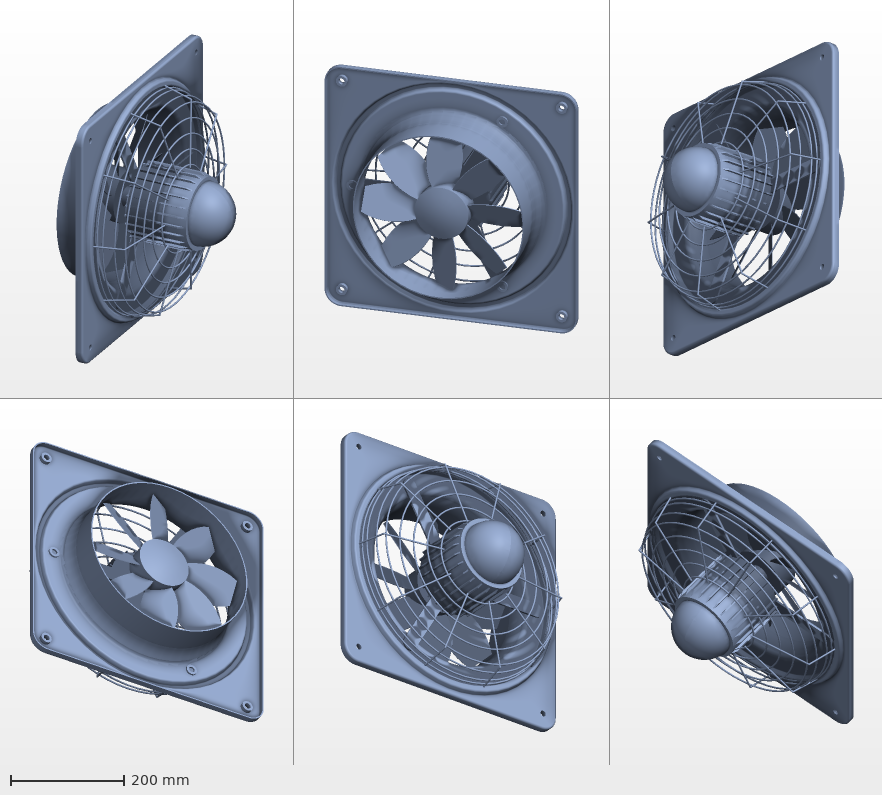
import cadquery as cq
import math


plate_size = 465.0
plate_depth = 14.0
corner_radius = 30.0
sheet = 2.5
inner_bend = 2.0
outer_bend = inner_bend + sheet
sheet_middle = plate_depth - sheet / 2
plate_front = plate_depth - sheet

bush_spacing = 405.5
bush_radius = 10.0
bush_hole_radius = 5.5
bush_height = 7.5

bead_outer_radius = 223.0
bead_inner_radius = 202.7
bead_depth = 9.8
bead_bend = 3.0
bead_lean = 20.0
flare_end_radius = 175.0
duct_radius = 157.5
duct_middle = duct_radius - sheet / 2
duct_front = -76.5
flare_start = -22.0
flare_length = 28.0
flare_rise = 9.0
flare_sag = 2.1
lip_mid_gap = 2.0
lip_mid_rise = 3.3

arm_angles = (30, 150, 270)
arm_width = 27.5
arm_thickness = 3.5
arm_overlap = 0.5
arm_front = plate_depth - arm_overlap
screw_circle = 184.5
screw_height = 3.3

motor_radius = 67.5
motor_end = 134.0
fin_radius = 72.0
fin_count = 24
fin_width = 3.0
fin_root_depth = 4.5
fin_taper_start = 118.5
fin_end = 129.0
dome_radius = 59.0
dome_end = 192.0

hub_radius = 49.5
hub_front = -58.0
hub_back = -19.5
hub_crown = 9.5
shaft_radius = 18.5
blade_count = 8
blade_middle = -39.0
blade_pitch = 35.0
blade_thickness = 1.5
blade_root_radius = 44.0
blade_wide_radius = 90.5
blade_tip_radius = 149.5
blade_root_width = 37.0
blade_wide_width = 56.0
blade_tip_width = 38.0

wire_radius = 1.65
spoke_count = 10
spoke_foot = (22.5, 209.2)
spoke_bend = (78.0, 195.5)
spoke_tip = (95.5, 75.5)
side_ring_positions = (28.5, 38.5, 60.0)
face_ring_count = 5
face_ring_outer_radius = 189.5
face_ring_inner_radius = 80.0
ring_offset = 2.0


def cylinder(x_start, x_end, radius, y=0, z=0):
    return cq.Workplane("YZ", origin=(x_start, y, z)).circle(radius).extrude(x_end - x_start)


def square(x_start, x_end, size, radius):
    block = cq.Workplane("YZ", origin=(x_start, 0, 0)).rect(size, size).extrude(x_end - x_start)
    return block.edges("|X").fillet(radius)


def around_axis(shape, angle):
    return shape.rotate((0, 0, 0), (1, 0, 0), angle)


def around_all(shape, count):
    return [around_axis(shape, index * 360 / count) for index in range(count)]


def join(parts):
    solids = [part.val() for part in parts]
    return cq.Workplane(solids[0].fuse(*solids[1:]))


def revolve_about_x(profile):
    return profile.revolve(360, (0, 0, 0), (1, 0, 0))


def make_plate():
    outside = square(0, plate_depth, plate_size, corner_radius)
    outside = outside.faces(">X").edges().fillet(outer_bend)
    pocket_size = plate_size - 2 * sheet
    pocket = square(0, plate_front, pocket_size, corner_radius - sheet)
    pocket = pocket.faces(">X").edges().fillet(inner_bend)
    opening = cylinder(0, plate_depth, bead_outer_radius)
    return outside.cut(pocket).cut(opening)


def make_bush(y, z):
    return cylinder(plate_front - bush_height, plate_depth, bush_radius, y, z)


def make_bead_and_duct():
    """Sheet section given by its middle line: bead, flat web, two-arc flare and duct."""
    lean = math.radians(bead_lean)
    bend_depth = bead_bend * (1 - math.sin(lean))
    bend_run = bead_bend * math.cos(lean)
    flank_run = (bead_depth - 2 * bend_depth) * math.tan(lean)
    side_run = 2 * bend_run + flank_run
    bead_bottom = sheet_middle + bead_depth
    flank_top = sheet_middle + bend_depth
    flank_foot = bead_bottom - bend_depth
    flare_end = (flare_start + flare_length, duct_middle + flare_rise)
    flare_mid = (flare_start + flare_length / 2, duct_middle + flare_rise / 2 - flare_sag)
    lip_mid = (sheet_middle - lip_mid_gap, duct_middle + flare_rise + lip_mid_rise)
    sheet_line = (
        cq.Workplane("XY")
        .moveTo(sheet_middle, bead_outer_radius + sheet)
        .lineTo(sheet_middle, bead_outer_radius)
        .tangentArcPoint((flank_top, bead_outer_radius - bend_run), relative=False)
        .lineTo(flank_foot, bead_outer_radius - bend_run - flank_run)
        .tangentArcPoint((bead_bottom, bead_outer_radius - side_run), relative=False)
        .lineTo(bead_bottom, bead_inner_radius + side_run)
        .tangentArcPoint((flank_foot, bead_inner_radius + bend_run + flank_run), relative=False)
        .lineTo(flank_top, bead_inner_radius + bend_run)
        .tangentArcPoint((sheet_middle, bead_inner_radius), relative=False)
        .lineTo(sheet_middle, flare_end_radius)
        .threePointArc(lip_mid, flare_end)
        .threePointArc(flare_mid, (flare_start, duct_middle))
        .lineTo(duct_front - sheet, duct_middle)
    )
    ring = revolve_about_x(sheet_line.offset2D(sheet / 2))
    return ring.cut(cylinder(duct_front - 2 * sheet, duct_front, plate_size / 2))


def make_arm(angle):
    arm = (
        cq.Workplane("YZ", origin=(arm_front, 0, 0))
        .rect(arm_width, screw_circle, centered=(True, False))
        .extrude(arm_thickness)
    )
    arm = arm.union(cylinder(arm_front, arm_front + arm_thickness, arm_width / 2, 0, screw_circle))
    screw = cylinder(plate_front - screw_height, plate_depth, bush_radius, 0, screw_circle)
    socket = cylinder(plate_front - screw_height, plate_front, bush_hole_radius, 0, screw_circle)
    return around_axis(arm.union(screw).cut(socket), angle)


def make_motor():
    body = cylinder(arm_front, motor_end, motor_radius)
    fin_profile = (
        cq.Workplane("XZ")
        .moveTo(arm_front, motor_radius - fin_root_depth)
        .lineTo(arm_front, fin_radius)
        .lineTo(fin_taper_start, fin_radius)
        .lineTo(fin_end, motor_radius)
        .lineTo(fin_end, motor_radius - fin_root_depth)
        .close()
    )
    fin = fin_profile.extrude(fin_width / 2, both=True)
    dome = cq.Workplane("XY").sphere(dome_radius).translate((dome_end - dome_radius, 0, 0))
    return join([body, dome] + around_all(fin, fin_count))


def make_blade():
    """Flat blade pointing along +Z, its chord turned by the pitch angle towards +X."""
    pitch = math.radians(blade_pitch)
    chord = cq.Vector(math.sin(pitch), -math.cos(pitch), 0)
    normal = chord.cross(cq.Vector(0, 0, 1))
    middle = (blade_middle, 0, 0)
    stretch = 1 / math.cos(pitch)
    root = blade_root_width / 2 * stretch
    wide = blade_wide_width / 2 * stretch
    tip = blade_tip_width / 2 * stretch
    return (
        cq.Workplane(cq.Plane(middle, chord, normal))
        .moveTo(-root, blade_root_radius)
        .threePointArc((-wide, blade_wide_radius), (-tip, blade_tip_radius))
        .lineTo(tip, blade_tip_radius)
        .threePointArc((wide, blade_wide_radius), (root, blade_root_radius))
        .close()
        .extrude(blade_thickness / 2, both=True)
    )


def make_impeller():
    crown_sphere_radius = (hub_radius**2 + hub_crown**2) / (2 * hub_crown)
    crown_tip = hub_front - hub_crown
    crown_mid_radius = hub_radius / 2
    crown_drop = crown_sphere_radius - math.sqrt(crown_sphere_radius**2 - crown_mid_radius**2)
    profile = (
        cq.Workplane("XY")
        .moveTo(crown_tip, 0)
        .threePointArc((crown_tip + crown_drop, crown_mid_radius), (hub_front, hub_radius))
        .lineTo(hub_back, hub_radius)
        .lineTo(hub_back, shaft_radius)
        .lineTo(arm_front + arm_thickness, shaft_radius)
        .lineTo(arm_front + arm_thickness, 0)
        .close()
    )
    hub = revolve_about_x(profile)
    return join([hub] + around_all(make_blade(), blade_count))


def make_rod(start, end):
    """Straight wire between two (x, radius) points, lying in the XY plane."""
    first = cq.Vector(start[0], start[1], 0)
    direction = cq.Vector(end[0], end[1], 0) - first
    return cq.Workplane(cq.Solid.makeCylinder(wire_radius, direction.Length, first, direction))


def make_spoke():
    bend = cq.Workplane("XY").sphere(wire_radius).translate((spoke_bend[0], spoke_bend[1], 0))
    return make_rod(spoke_foot, spoke_bend).union(bend).union(make_rod(spoke_bend, spoke_tip))


def make_ring(x, radius):
    return cq.Workplane(cq.Solid.makeTorus(radius, wire_radius, cq.Vector(x, 0, 0), cq.Vector(1, 0, 0)))


def make_guard():
    wires = around_all(make_spoke(), spoke_count)
    side_slope = (spoke_bend[1] - spoke_foot[1]) / (spoke_bend[0] - spoke_foot[0])
    for x in side_ring_positions:
        spoke_radius = spoke_foot[1] + side_slope * (x - spoke_foot[0])
        wires.append(make_ring(x, spoke_radius - ring_offset))
    face_slope = (spoke_tip[0] - spoke_bend[0]) / (spoke_tip[1] - spoke_bend[1])
    ring_step = (face_ring_outer_radius - face_ring_inner_radius) / (face_ring_count - 1)
    for index in range(face_ring_count):
        radius = face_ring_inner_radius + index * ring_step
        x = spoke_tip[0] + face_slope * (radius - spoke_tip[1]) - ring_offset
        wires.append(make_ring(x, radius))
    return join(wires)


bush_half = bush_spacing / 2
bush_places = [(y, z) for y in (-bush_half, bush_half) for z in (-bush_half, bush_half)]
frame = make_plate().union(make_bead_and_duct())
for y, z in bush_places:
    frame = frame.union(make_bush(y, z)).cut(cylinder(0, plate_depth, bush_hole_radius, y, z))
arms = [make_arm(angle) for angle in arm_angles]
drive = join([make_motor(), make_impeller()] + arms)
guarded_frame = join([frame, make_guard()])
result = join([guarded_frame, drive]).solids()